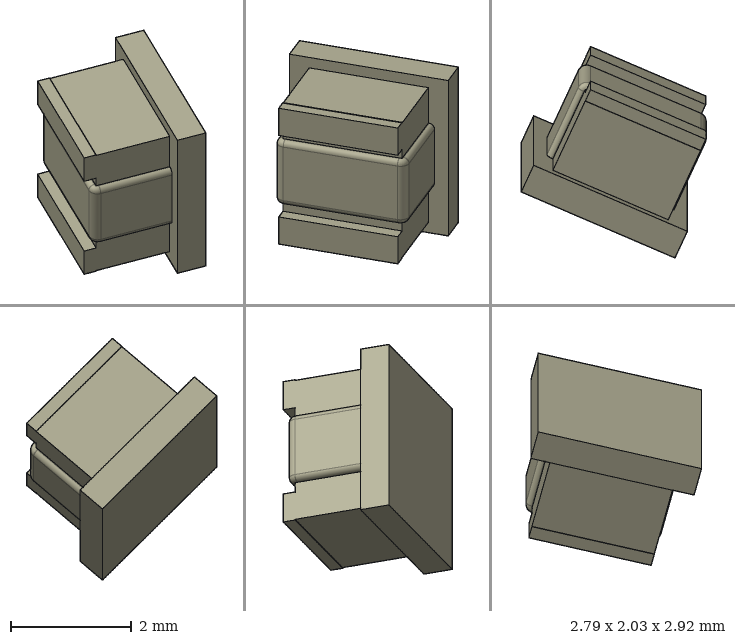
import cadquery as cq

plate_width = 2.79
plate_height = 2.92
plate_thickness = 0.505
total_depth = 2.03

core_width = 2.09
core_height = 2.53
core_depth = 1.31

pad_overlap = 0.012
pad_height = 0.51
pad_thickness = total_depth - plate_thickness - core_depth

winding_width = 2.307
winding_height = 1.197
winding_depth = 1.422
winding_corner_radius = 0.152
winding_rim_radius = 0.095


def block(width, depth, height, back_y):
    """Box centred in X and Z that reaches from back_y towards -Y."""
    return cq.Workplane("XY").box(width, depth, height).translate((0, back_y - depth / 2, 0))


plate = block(plate_width, plate_thickness, plate_height, plate_thickness)
core = block(core_width, core_depth, core_height, 0)

winding = block(winding_width, winding_depth, winding_height, 0)
winding = winding.edges("|Z and <Y").fillet(winding_corner_radius)
winding = winding.faces("<Z or >Z").edges("not >Y").fillet(winding_rim_radius)

result = plate.union(core).union(winding)

pad_center_z = core_height / 2 + pad_overlap - pad_height / 2
for side in (-1, 1):
    pad = block(core_width, pad_thickness, pad_height, -core_depth)
    result = result.union(pad.translate((0, 0, side * pad_center_z)))